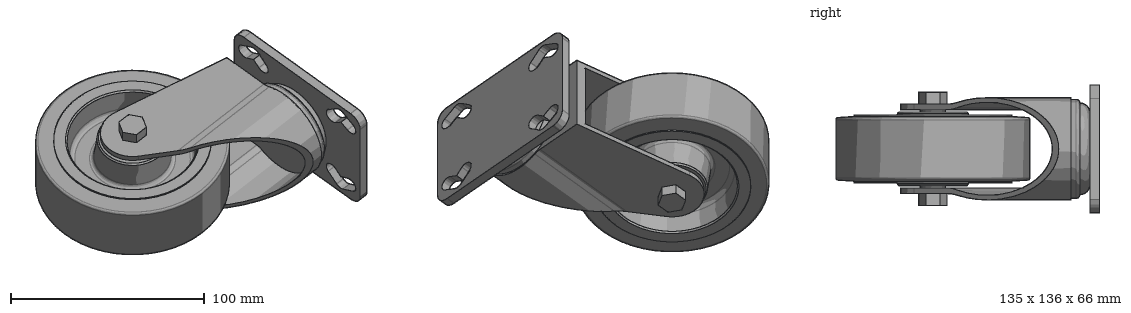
import cadquery as cq
import math


overall_height = 136.0

wheel_radius = 50.0
tyre_half_width = 16.2
tyre_edge_radius = 1.2
rim_half_width = 17.5
rim_outer_radius = 40.7
rim_inner_radius = 34.5
rim_lip = 0.8
tyre_inner_half_width = 16.7
web_half_width = 3.1
web_outer_radius = 29.8
rim_wall_base_radius = 32.4
web_inner_radius = 22.2
hub_base_radius = 20.0
hub_radius = 18.4
hub_half_width = 19.0
hub_edge_chamfer = 0.8

spacer_diameter = 13.0
bolt_across_flats = 12.6
bolt_head_height = 6.1

swivel_x = 40.0
plate_thickness = 5.0
plate_length = 90.0
plate_width = 66.0
plate_corner_radius = 7.0
slot_width = 8.0
slot_inner_end = (24.8, 20.8)
slot_bend = (30.7, 26.0)
slot_outer_end = (37.8, 22.2)
dome_height = 5.2
race_diameter = 51.1
race_edge_radius = 1.9

fork_top = 71.1
fork_crown_thickness = 5.0
arm_half_width = 23.1
arm_thickness = 3.0
arm_end_radius = 16.6
bulge_x = 40.4
bulge_outer_radius = 26.4
bulge_inner_radius = 24.0
bulge_blend_outer = 9.0
bulge_blend_inner = 8.2
fork_front_top_x = -1.0
fork_back_edge_height = 6.3
selection_margin = 0.1

plate_top = overall_height - wheel_radius
plate_bottom = plate_top - plate_thickness
dome_base = plate_bottom - dome_height


def cylinder_along_z(radius, half_length):
    return cq.Workplane("XY", origin=(0, 0, -half_length)).circle(radius).extrude(2 * half_length)


def make_wheel():
    blank = cylinder_along_z(wheel_radius, hub_half_width)
    rim_fillet = rim_wall_base_radius - web_outer_radius
    hub_fillet = web_inner_radius - hub_base_radius
    face_relief = (
        cq.Workplane("XZ")
        .moveTo(wheel_radius, hub_half_width)
        .lineTo(wheel_radius, tyre_half_width - tyre_edge_radius)
        .radiusArc((wheel_radius - tyre_edge_radius, tyre_half_width), -tyre_edge_radius)
        .lineTo(rim_outer_radius, tyre_inner_half_width)
        .lineTo(rim_outer_radius, rim_half_width)
        .lineTo(rim_inner_radius, rim_half_width)
        .lineTo(rim_inner_radius - rim_lip, rim_half_width - rim_lip)
        .lineTo(rim_wall_base_radius, web_half_width + rim_fillet)
        .radiusArc((web_outer_radius, web_half_width), rim_fillet)
        .lineTo(web_inner_radius, web_half_width)
        .radiusArc((hub_base_radius, web_half_width + hub_fillet), hub_fillet)
        .lineTo(hub_radius, hub_half_width - hub_edge_chamfer)
        .lineTo(hub_radius - hub_edge_chamfer, hub_half_width)
        .close()
        .revolve(360, (0, 0), (0, 1))
    )
    return blank.cut(face_relief).cut(face_relief.mirror("XY"))


def make_axle():
    bolt_half_length = arm_half_width + bolt_head_height
    hexagon_diameter = bolt_across_flats / math.cos(math.pi / 6)
    hexagon_bar = (
        cq.Workplane("XY", origin=(0, 0, -bolt_half_length))
        .transformed(rotate=(0, 0, 90))
        .polygon(6, hexagon_diameter)
        .extrude(2 * bolt_half_length)
    )
    heads = hexagon_bar.cut(cylinder_along_z(hexagon_diameter, arm_half_width))
    return cylinder_along_z(spacer_diameter / 2, arm_half_width).union(heads)


def fork_section(half_width, radius, blend, height):
    """Bar along Y from the arm ends up to `height`: straight sides blended into the round bulge."""
    bottom = -arm_end_radius
    plane = cq.Workplane("XZ", origin=(0, bottom, 0))
    arms_length = bulge_x + arm_end_radius
    arms = (
        plane.center(bulge_x - arms_length / 2, 0)
        .rect(arms_length, 2 * half_width)
        .extrude(-(height - bottom))
    )
    housing = plane.center(bulge_x, 0).circle(radius).extrude(-(height - bottom))
    corner_x = bulge_x - math.sqrt(radius ** 2 - half_width ** 2)
    corners = cq.selectors.BoxSelector(
        (corner_x - selection_margin, bottom, -radius), (corner_x + selection_margin, height, radius)
    )
    return arms.union(housing).edges("|Y").edges(corners).fillet(blend)


def tangent_point(point, side):
    """Where the line from `point` touches the arm end circle, on its +1 or -1 turning side."""
    x, y = point
    angle = math.atan2(y, x) + side * math.acos(arm_end_radius / math.hypot(x, y))
    return arm_end_radius * math.cos(angle), arm_end_radius * math.sin(angle)


def make_fork():
    outside = fork_section(arm_half_width, bulge_outer_radius, bulge_blend_outer, fork_top)
    inside = fork_section(arm_half_width - arm_thickness, bulge_inner_radius, bulge_blend_inner,
                          fork_top - fork_crown_thickness)
    front_top = (fork_front_top_x, fork_top)
    back_top = (bulge_x + bulge_outer_radius, fork_top)
    back_corner = (back_top[0], fork_top - fork_back_edge_height)
    outline = (
        cq.Workplane("XY")
        .moveTo(*front_top)
        .lineTo(*back_top)
        .lineTo(*back_corner)
        .lineTo(*tangent_point(back_corner, -1))
        .threePointArc((0, -arm_end_radius), tangent_point(front_top, 1))
        .close()
        .extrude(bulge_outer_radius, both=True)
    )
    return outside.cut(inside).intersect(outline)


def make_swivel():
    race_radius = race_diameter / 2
    return (
        cq.Workplane("XY")
        .moveTo(0, fork_top)
        .lineTo(race_radius, fork_top)
        .lineTo(race_radius, dome_base - race_edge_radius)
        .radiusArc((race_radius - race_edge_radius, dome_base), -race_edge_radius)
        .radiusArc((race_radius - race_edge_radius - dome_height, plate_bottom), -dome_height)
        .lineTo(0, plate_bottom)
        .close()
        .revolve(360, (0, 0), (0, 1))
        .translate((swivel_x, 0, 0))
    )


def slot_leg(start, end):
    """Round-ended slot between two points given from the plate centre."""
    dx = end[0] - start[0]
    dz = end[1] - start[1]
    return (
        cq.Workplane("XZ", origin=(swivel_x, plate_bottom, 0))
        .center((start[0] + end[0]) / 2, (start[1] + end[1]) / 2)
        .slot2D(math.hypot(dx, dz) + slot_width, slot_width, math.degrees(math.atan2(dz, dx)))
        .extrude(-plate_thickness)
    )


def make_plate():
    plate = (
        cq.Workplane("XZ", origin=(swivel_x, plate_bottom, 0))
        .rect(plate_length, plate_width)
        .extrude(-plate_thickness)
        .edges("|Y")
        .fillet(plate_corner_radius)
    )
    for side_x in (-1, 1):
        for side_z in (-1, 1):
            inner_end, bend, outer_end = [
                (side_x * x, side_z * z) for x, z in (slot_inner_end, slot_bend, slot_outer_end)
            ]
            plate = plate.cut(slot_leg(inner_end, bend)).cut(slot_leg(bend, outer_end))
    return plate


result = (
    make_wheel()
    .union(make_axle())
    .union(make_fork())
    .union(make_swivel())
    .union(make_plate())
)